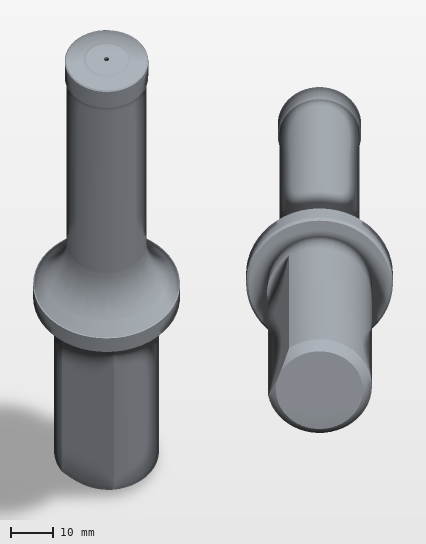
import cadquery as cq
import math

total_height = 141.0

shank_radius = 25.0 / 2
shank_chamfer = 2.1
flat_distance = 10.5
flat_top = 51.3

collar_radius = 35.0 / 2
collar_bottom = 56.0
collar_top = 61.3
collar_chamfer = 0.5
cone_base_radius = 17.2
stem_radius = 19.0 / 2
flare_radius = 16.2
flare_angle = math.radians(45)

head_radius = 19.9 / 2
head_bottom = 134.4
head_taper = 0.3
head_chamfer = 0.3
face_rise = 0.3
boss_base_radius = 5.2
boss_radius = 5.0
boss_height = 0.1
center_hole_diameter = 1.3
center_hole_depth = 1.4


def make_holder():
    """Turned shank, collar, flare and stem, with a flat milled on the -Y side."""
    flare_end_radius = stem_radius + flare_radius * (1 - math.cos(flare_angle))
    flare_end = collar_top + (cone_base_radius - flare_end_radius) / math.tan(flare_angle)
    flare_start = flare_end + flare_radius * math.sin(flare_angle)
    half_angle = flare_angle / 2
    flare_middle = (
        stem_radius + flare_radius * (1 - math.cos(half_angle)),
        flare_start - flare_radius * math.sin(half_angle),
    )
    body = (
        cq.Workplane("XZ")
        .lineTo(shank_radius - shank_chamfer, 0)
        .lineTo(shank_radius, shank_chamfer)
        .lineTo(shank_radius, collar_bottom)
        .lineTo(collar_radius - collar_chamfer, collar_bottom)
        .lineTo(collar_radius, collar_bottom + collar_chamfer)
        .lineTo(collar_radius, collar_top)
        .lineTo(cone_base_radius, collar_top)
        .lineTo(flare_end_radius, flare_end)
        .threePointArc(flare_middle, (stem_radius, flare_start))
        .lineTo(stem_radius, head_bottom)
        .lineTo(0, head_bottom)
        .close()
        .revolve(360, (0, 0), (0, 1))
    )
    flat_cut = cq.Workplane("XY").box(
        2 * shank_radius, shank_radius, flat_top, centered=(True, False, False)
    ).translate((0, -flat_distance - shank_radius, 0))
    return body.cut(flat_cut)


def make_head():
    """Disc seated on the stem, with a shallow conical face and a center hole."""
    face_base = total_height - boss_height
    face_edge = face_base - face_rise
    body = (
        cq.Workplane("XZ")
        .moveTo(0, head_bottom)
        .lineTo(stem_radius, head_bottom)
        .lineTo(head_radius, head_bottom + head_taper)
        .lineTo(head_radius, face_edge - head_chamfer)
        .lineTo(head_radius - head_chamfer, face_edge)
        .lineTo(boss_base_radius, face_base)
        .lineTo(boss_radius, total_height)
        .lineTo(0, total_height)
        .close()
        .revolve(360, (0, 0), (0, 1))
    )
    center_hole = (
        cq.Workplane("XY", origin=(0, 0, total_height))
        .circle(center_hole_diameter / 2)
        .extrude(-center_hole_depth)
    )
    return body.cut(center_hole)


holder = make_holder()
head = make_head()

result = cq.Compound.makeCompound([holder.val(), head.val()])